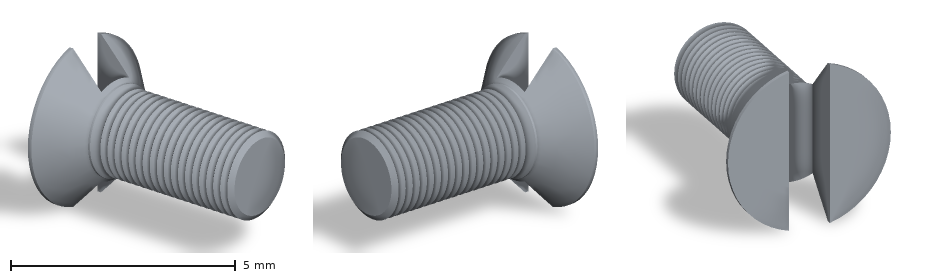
import cadquery as cq

length = 5.0
head_radius = 2.0
rim_thickness = 0.1
head_height = 1.0
collar_width = 0.055
slot_width = 1.0
slot_depth = 0.9
thread_pitch = 0.2
thread_count = 19
crest_radius = 1.04
root_radius = 0.905

collar_radius = head_radius - (head_height - rim_thickness)
thread_start = length - thread_count * thread_pitch


def screw_profile():
    """Half section of the screw as (axial position, radius) points."""
    points = [
        (0, 0),
        (0, head_radius),
        (rim_thickness, head_radius),
        (head_height, collar_radius),
        (head_height + collar_width, collar_radius),
        (thread_start, root_radius),
    ]
    for ridge in range(thread_count):
        ridge_start = thread_start + ridge * thread_pitch
        points.append((ridge_start + thread_pitch / 2, crest_radius))
        points.append((ridge_start + thread_pitch, root_radius))
    points.append((length, 0))
    return points


def driver_slot():
    """Straight slot across the head, running along Z."""
    return cq.Workplane("XY").box(
        slot_depth, slot_width, 2 * head_radius, centered=(False, True, True)
    )


screw = (
    cq.Workplane("XY")
    .polyline(screw_profile())
    .close()
    .revolve(360, (0, 0, 0), (1, 0, 0))
)
result = screw.cut(driver_slot())